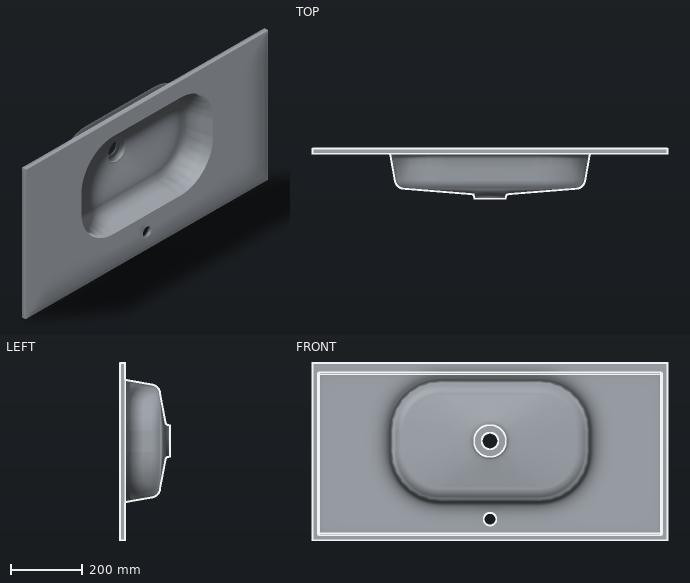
import cadquery as cq
import math


DECK_WIDTH = 1000.0
DECK_HEIGHT = 500.0
RIM_DEPTH = 15.0
DECK_ROUND = 3.0
SKIN = 12.0

RIM_SIDE = 15.0
RIM_TOP = 27.0
RECESS_DEPTH = RIM_DEPTH - SKIN
RECESS_SLOPE = 5.0
RECESS_CORNER = 6.0

BOWL_Z = 30.0
BOWL_STRAIGHT_X = 278.0
BOWL_STRAIGHT_Z = 60.0
BOWL_CORNER = 143.0
BOWL_DEPTH = 114.0
BOWL_DRAFT = 10.0
BOWL_ROUND = 28.0
DECK_BLEND = 10.0

FLOOR_DEPTH = 129.0
TOTAL_DEPTH = 142.0
BOSS_RADIUS = 45.0
BOSS_COVE = 8.0
DRAIN_DIAMETER = 46.0
DRAIN_SEAT_DIAMETER = 70.0
DRAIN_FLANGE = 5.0

TAP_Z = -190.0
TAP_DIAMETER = 35.0

DRAFT_SLOPE = math.tan(math.radians(BOWL_DRAFT))


def plane_at(depth, z=0):
    return cq.Workplane("XZ", origin=(0, -depth, z))


def rounded_rectangle(depth, corner):
    """Bowl outline at a depth, keeping the same corner centres at every size."""
    sketch = cq.Sketch().rect(BOWL_STRAIGHT_X + 2 * corner, BOWL_STRAIGHT_Z + 2 * corner)
    return plane_at(depth, BOWL_Z).placeSketch(sketch.vertices().fillet(corner))


def bowl_body(start, corner, depth, rounding):
    """Drafted bowl with a rounded lower edge and a flat floor."""
    body = rounded_rectangle(start, corner).extrude(depth - start, taper=BOWL_DRAFT)
    return body.faces("<Y").edges().fillet(rounding)


def sloping_floor(body, depth, drain_radius):
    """Ruled transition from the edge of the flat floor to the drain circle."""
    edge = body.faces("<Y").val().outerWire()
    drain = cq.Wire.makeCircle(drain_radius, cq.Vector(0, -depth, BOWL_Z), cq.Vector(0, -1, 0))
    return cq.Workplane(cq.Solid.makeLoft([edge, drain], True))


def make_deck():
    deck = plane_at(0).rect(DECK_WIDTH, DECK_HEIGHT).extrude(RIM_DEPTH)
    deck = deck.faces(">Y").edges().fillet(DECK_ROUND)
    recess_width = DECK_WIDTH - 2 * RIM_SIDE
    recess_height = DECK_HEIGHT - RIM_SIDE - RIM_TOP
    recess_z = (RIM_SIDE - RIM_TOP) / 2
    outline = cq.Sketch().rect(recess_width, recess_height).vertices().fillet(RECESS_CORNER)
    slope_angle = math.degrees(math.atan2(RECESS_SLOPE, RECESS_DEPTH))
    recess = (
        plane_at(RIM_DEPTH, recess_z)
        .placeSketch(outline)
        .extrude(-RECESS_DEPTH, taper=slope_angle)
    )
    return deck.cut(recess)


def make_boss():
    """Drain boss with a concave foot, turned about the drain axis."""
    cove_end = FLOOR_DEPTH + BOSS_COVE
    cove_middle = BOSS_COVE * (1 - math.sqrt(0.5))
    return (
        cq.Workplane("XY", origin=(0, 0, BOWL_Z))
        .moveTo(0, -FLOOR_DEPTH)
        .lineTo(BOSS_RADIUS + BOSS_COVE, -FLOOR_DEPTH)
        .threePointArc(
            (BOSS_RADIUS + cove_middle, -FLOOR_DEPTH - cove_middle),
            (BOSS_RADIUS, -cove_end),
        )
        .lineTo(BOSS_RADIUS, -TOTAL_DEPTH)
        .lineTo(0, -TOTAL_DEPTH)
        .close()
        .revolve(360, (0, 0, 0), (0, 1, 0))
    )


def on_bowl_foot(edge):
    """True for the edges where the bowl wall meets the recess floor."""
    box = edge.BoundingBox()
    half_width = BOWL_STRAIGHT_X / 2 + BOWL_CORNER
    at_recess_floor = max(abs(box.ymin + SKIN), abs(box.ymax + SKIN)) < SKIN / 10
    return at_recess_floor and max(-box.xmin, box.xmax) < half_width + SKIN


outer_bowl = bowl_body(SKIN, BOWL_CORNER, BOWL_DEPTH, BOWL_ROUND)
solid_basin = make_deck().union(outer_bowl)
foot_edges = [edge for edge in solid_basin.edges().vals() if on_bowl_foot(edge)]
solid_basin = solid_basin.newObject(foot_edges).fillet(DECK_BLEND)
drain_foot = BOSS_RADIUS + BOSS_COVE
solid_basin = solid_basin.union(sloping_floor(outer_bowl, FLOOR_DEPTH, drain_foot)).union(make_boss())

cavity_corner = BOWL_CORNER - SKIN + SKIN * DRAFT_SLOPE
cavity = bowl_body(0, cavity_corner, BOWL_DEPTH - SKIN, BOWL_ROUND - SKIN)
cavity = cavity.union(sloping_floor(cavity, FLOOR_DEPTH - SKIN, drain_foot - SKIN))

drain_hole = plane_at(0, BOWL_Z).circle(DRAIN_DIAMETER / 2).extrude(TOTAL_DEPTH)
drain_seat = plane_at(0, BOWL_Z).circle(DRAIN_SEAT_DIAMETER / 2).extrude(TOTAL_DEPTH - DRAIN_FLANGE)
tap_hole = plane_at(0, TAP_Z).circle(TAP_DIAMETER / 2).extrude(RIM_DEPTH)

result = solid_basin.cut(cavity).cut(drain_hole).cut(drain_seat).cut(tap_hole)